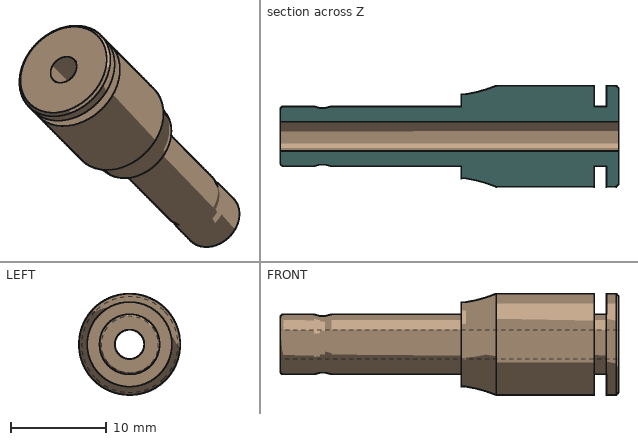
import math

import cadquery as cq

total_length = 35.55
tip_rounding = 0.35
groove_start = 3.55
groove_floor_start = 4.2
groove_floor_end = 4.7
groove_end = 5.4
shoulder_start = 19.0
shoulder_rim_length = 0.5
body_start = 22.7
body_end = 33.0
collar_start = 34.25
collar_chamfer = 0.3

stem_diameter = 6.33
groove_diameter = 5.97
shoulder_diameter = 8.9
body_diameter = 10.67
neck_diameter = 6.33
bore_diameter = 3.05

flare_sag = 0.1

stem_radius = stem_diameter / 2
groove_radius = groove_diameter / 2
shoulder_radius = shoulder_diameter / 2
body_radius = body_diameter / 2
neck_radius = neck_diameter / 2

tip_arc_inset = tip_rounding * (1 - math.sqrt(0.5))
tip_arc_middle = (tip_arc_inset, stem_radius - tip_arc_inset)

flare_start = shoulder_start + shoulder_rim_length
flare_middle = (
    (flare_start + body_start) / 2,
    (shoulder_radius + body_radius) / 2 - flare_sag,
)

outer_profile = (
    cq.Workplane("XY")
    .moveTo(0, 0)
    .lineTo(0, stem_radius - tip_rounding)
    .threePointArc(tip_arc_middle, (tip_rounding, stem_radius))
    .lineTo(groove_start, stem_radius)
    .lineTo(groove_floor_start, groove_radius)
    .lineTo(groove_floor_end, groove_radius)
    .lineTo(groove_end, stem_radius)
    .lineTo(shoulder_start, stem_radius)
    .lineTo(shoulder_start, shoulder_radius)
    .lineTo(flare_start, shoulder_radius)
    .threePointArc(flare_middle, (body_start, body_radius))
    .lineTo(body_end, body_radius)
    .lineTo(body_end, neck_radius)
    .lineTo(collar_start, neck_radius)
    .lineTo(collar_start, body_radius)
    .lineTo(total_length - collar_chamfer, body_radius)
    .lineTo(total_length, body_radius - collar_chamfer)
    .lineTo(total_length, 0)
    .close()
)
fitting = outer_profile.revolve(360, (0, 0, 0), (1, 0, 0))

bore = cq.Workplane("YZ").circle(bore_diameter / 2).extrude(total_length)

result = fitting.cut(bore)